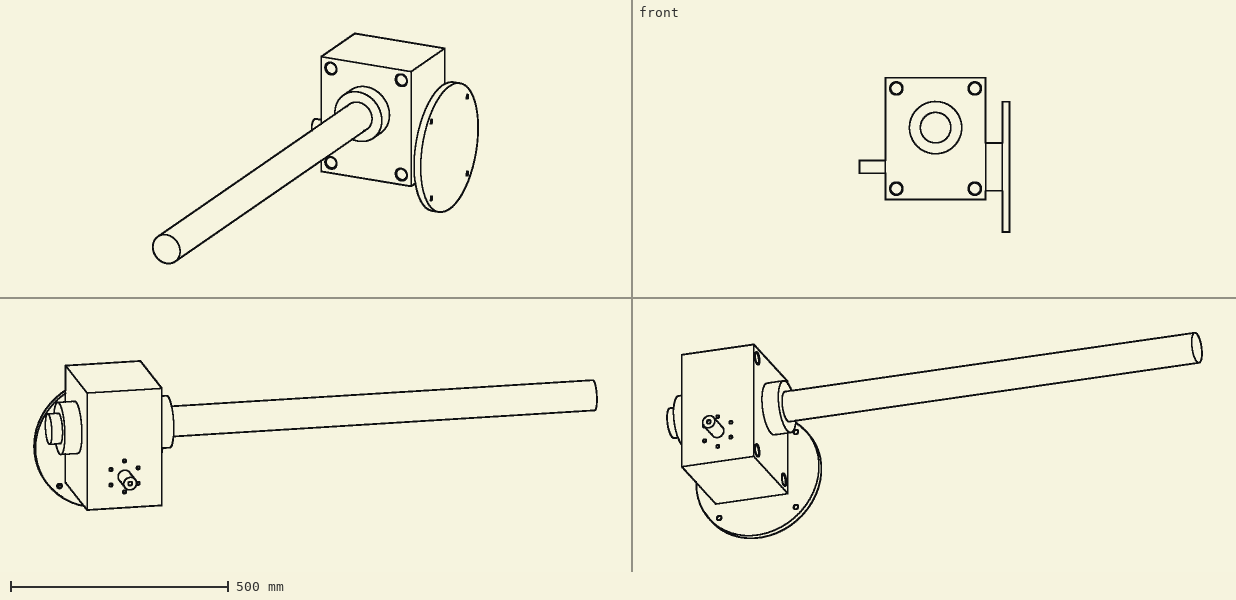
import cadquery as cq
import math


housing_width = 230
housing_depth = 176
housing_height = 280
screw_axis_below_top = 115
left_x = -housing_width / 2
right_x = housing_width / 2
front_y = -housing_depth / 2
back_y = housing_depth / 2
top_z = screw_axis_below_top
block_center_z = top_z - housing_height / 2

sleeve_diameter = 120
sleeve_length = 40

screw_diameter = 70
screw_front_extension = 1000
screw_back_extension = 25
screw_front_y = front_y - sleeve_length - screw_front_extension
screw_back_y = back_y + sleeve_length + screw_back_extension

input_axis_z = -90
shaft_diameter = 30
shaft_length = 60
shaft_hole_diameter = 8.38
shaft_hole_mouth = 10
shaft_hole_depth = 22

hub_diameter = 110
hub_length = 38
plate_diameter = 300
plate_thickness = 17
flange_hole_diameter = 10.11
flange_hole_mouth = 12
flange_hole_circle = 265
flange_hole_count = 4
flange_first_hole_angle = 45

mounting_hole_diameter = 26.21
mounting_hole_mouth = 30
mounting_hole_depth = 45
mounting_hole_inset = 25

cover_hole_diameter = 6.65
cover_hole_mouth = 8
cover_hole_depth = 16
cover_hole_circle = 74
cover_hole_count = 6
cover_first_hole_angle = 90

drill_point_angle = 118


def drilled_hole(diameter, depth, mouth_diameter):
    """Drilled hole along +Z from the origin, with a 45 degree countersunk mouth and a drill-point bottom."""
    radius = diameter / 2
    mouth_radius = mouth_diameter / 2
    tip_length = radius / math.tan(math.radians(drill_point_angle / 2))
    profile = [
        (0, 0),
        (mouth_radius, 0),
        (radius, mouth_radius - radius),
        (radius, depth),
        (0, depth + tip_length),
    ]
    return cq.Workplane("XZ").polyline(profile).close().revolve(360, (0, 0), (0, 1))


def x_cylinder(diameter, start_x, length):
    """Cylinder on the input axis, from start_x towards +X."""
    plane = cq.Workplane("YZ", origin=(start_x, 0, input_axis_z))
    return plane.circle(diameter / 2).extrude(length)


def y_cylinder(diameter, start_y, end_y):
    """Cylinder on the screw axis between two Y positions."""
    plane = cq.Workplane("XZ", origin=(0, end_y, 0))
    return plane.circle(diameter / 2).extrude(end_y - start_y)


def cut_hole_circle(body, hole, face_x, circle_diameter, count, first_angle):
    """Cut holes facing -X into a body, evenly spaced on a circle around the input axis."""
    hole = hole.rotate((0, 0, 0), (0, 1, 0), 90)
    for index in range(count):
        angle = math.radians(first_angle + index * 360 / count)
        hole_y = circle_diameter / 2 * math.cos(angle)
        hole_z = input_axis_z + circle_diameter / 2 * math.sin(angle)
        body = body.cut(hole.translate((face_x, hole_y, hole_z)))
    return body


def make_housing():
    block = cq.Workplane("XY").box(housing_width, housing_depth, housing_height)
    housing = block.translate((0, 0, block_center_z))
    housing = housing.union(y_cylinder(sleeve_diameter, front_y - sleeve_length, back_y + sleeve_length))
    housing = housing.cut(y_cylinder(screw_diameter, screw_front_y, screw_back_y))

    mounting_hole = drilled_hole(mounting_hole_diameter, mounting_hole_depth, mounting_hole_mouth)
    mounting_hole = mounting_hole.rotate((0, 0, 0), (1, 0, 0), -90)
    hole_x = housing_width / 2 - mounting_hole_inset
    hole_z = housing_height / 2 - mounting_hole_inset
    for side in (-1, 1):
        for level in (-1, 1):
            position = (side * hole_x, front_y, block_center_z + level * hole_z)
            housing = housing.cut(mounting_hole.translate(position))

    cover_hole = drilled_hole(cover_hole_diameter, cover_hole_depth, cover_hole_mouth)
    return cut_hole_circle(
        housing, cover_hole, left_x, cover_hole_circle, cover_hole_count, cover_first_hole_angle
    )


def make_screw():
    return y_cylinder(screw_diameter, screw_front_y, screw_back_y)


def make_input_shaft():
    end_x = left_x - shaft_length
    shaft = x_cylinder(shaft_diameter, end_x, shaft_length)
    center_hole = drilled_hole(shaft_hole_diameter, shaft_hole_depth, shaft_hole_mouth)
    center_hole = center_hole.rotate((0, 0, 0), (0, 1, 0), 90)
    return shaft.cut(center_hole.translate((end_x, 0, input_axis_z)))


def make_motor_flange():
    plate_x = right_x + hub_length
    flange = x_cylinder(hub_diameter, right_x, hub_length)
    flange = flange.union(x_cylinder(plate_diameter, plate_x, plate_thickness))
    flange_hole = drilled_hole(flange_hole_diameter, plate_thickness, flange_hole_mouth)
    return cut_hole_circle(
        flange, flange_hole, plate_x, flange_hole_circle, flange_hole_count, flange_first_hole_angle
    )


housing = make_housing()
screw = make_screw()
input_shaft = make_input_shaft()
motor_flange = make_motor_flange()

result = cq.Compound.makeCompound([housing.val(), screw.val(), input_shaft.val(), motor_flange.val()])